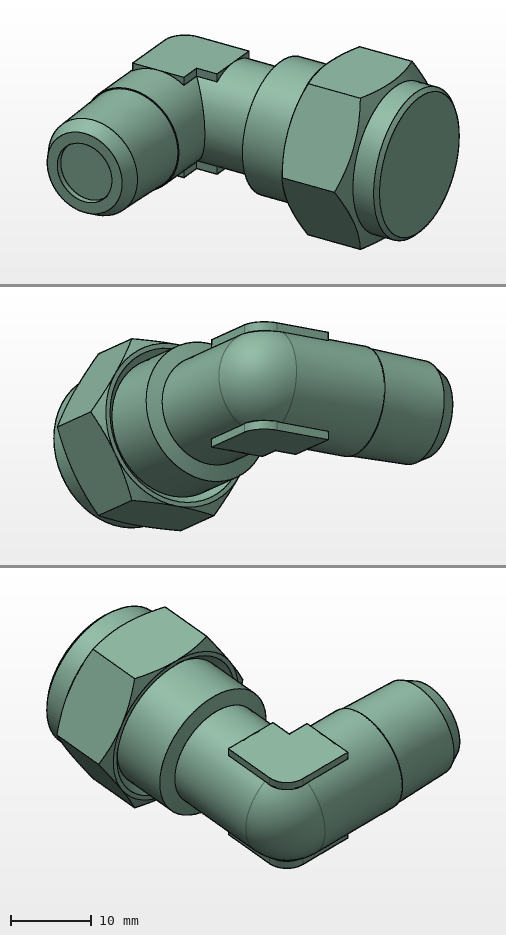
import cadquery as cq
import math


pipe_radius = 6.95
pipe_end = 13.05

taper_end = 22.05
branch_end = 24.0
tip_radius = 6.54
taper_ratio = 1 / 16
taper_root_radius = tip_radius + (taper_end - pipe_end) * taper_ratio / 2
nose_radius = 5.5
bore_radius = 3.998
bore_depth = 0.8

pad_back = 3.75
pad_reach = 6.75
pad_notch = 3.77
pad_corner_radius = 2.95
pad_thickness = 1.15

collar_radius = 8.95
collar_start = 13.08
collar_cone_length = 0.6

nut_start = 20.55
nut_flats = 21.0
nut_corner_radius = nut_flats / math.sqrt(3)
nut_face_radius = nut_flats / 2
chamfer_slope = math.tan(math.radians(60))
front_chamfer = (nut_corner_radius - nut_face_radius) / chamfer_slope
recess_radius = 9.9
recess_depth = 1.02

ring_start = 30.45
ring_end = 41 - pipe_radius
ring_radius = 9.9
ring_chamfer = 0.55
rear_chamfer = (nut_corner_radius - ring_radius) / chamfer_slope


def revolve_about_x(profile):
    """Turn a closed (x, radius) profile about the X axis."""
    return cq.Workplane("XY").polyline(profile).close().revolve(360, (0, 0), (1, 0))


def revolve_about_y(profile):
    """Turn a closed (radius, y) profile about the Y axis."""
    return cq.Workplane("XY").polyline(profile).close().revolve(360, (0, 0), (0, 1))


def make_elbow():
    corner = cq.Workplane("XY").sphere(pipe_radius)
    run = cq.Workplane("YZ").circle(pipe_radius).extrude(nut_start)
    branch = revolve_about_y([
        (0, 0),
        (pipe_radius, 0),
        (pipe_radius, -pipe_end),
        (taper_root_radius, -pipe_end),
        (tip_radius, -taper_end),
        (nose_radius, -branch_end),
        (0, -branch_end),
    ])
    return run.union(branch).union(corner)


def make_pad(bottom):
    """L-shaped flat pad with a rounded outer corner."""
    return (
        cq.Workplane("XY", origin=(0, 0, bottom))
        .moveTo(-pad_back, -pad_reach)
        .lineTo(pad_notch, -pad_reach)
        .lineTo(pad_notch, -pad_notch)
        .lineTo(pad_reach, -pad_notch)
        .lineTo(pad_reach, pad_back)
        .lineTo(pad_corner_radius - pad_back, pad_back)
        .radiusArc((-pad_back, pad_back - pad_corner_radius), -pad_corner_radius)
        .close()
        .extrude(pad_thickness)
    )


def make_collar():
    cone_end = collar_start + collar_cone_length
    seat = nut_start + recess_depth
    return revolve_about_x([
        (collar_start, 0),
        (collar_start, pipe_radius),
        (cone_end, collar_radius),
        (seat, collar_radius),
        (seat, 0),
    ])


def make_nut():
    hexagon = (
        cq.Workplane("YZ", origin=(nut_start, 0, 0))
        .polygon(6, 2 * nut_corner_radius)
        .extrude(ring_start - nut_start)
    )
    chamfer_envelope = revolve_about_x([
        (nut_start, 0),
        (nut_start, nut_face_radius),
        (nut_start + front_chamfer, nut_corner_radius),
        (ring_start - rear_chamfer, nut_corner_radius),
        (ring_start, ring_radius),
        (ring_start, 0),
    ])
    ring = (
        cq.Workplane("YZ", origin=(ring_start, 0, 0))
        .circle(ring_radius)
        .extrude(ring_end - ring_start)
        .faces(">X")
        .chamfer(ring_chamfer)
    )
    recess = revolve_about_x([
        (nut_start, 0),
        (nut_start, recess_radius),
        (nut_start + recess_depth, collar_radius),
        (nut_start + recess_depth, 0),
    ])
    return hexagon.intersect(chamfer_envelope).union(ring).cut(recess)


def make_bore():
    """Shallow blind bore in the tip of the tapered end."""
    return (
        cq.Workplane("XZ", origin=(0, bore_depth - branch_end, 0))
        .circle(bore_radius)
        .extrude(bore_depth)
    )


result = make_elbow().union(make_collar()).union(make_nut())
for pad_bottom in (pipe_radius - pad_thickness, -pipe_radius):
    result = result.union(make_pad(pad_bottom))
result = result.cut(make_bore())